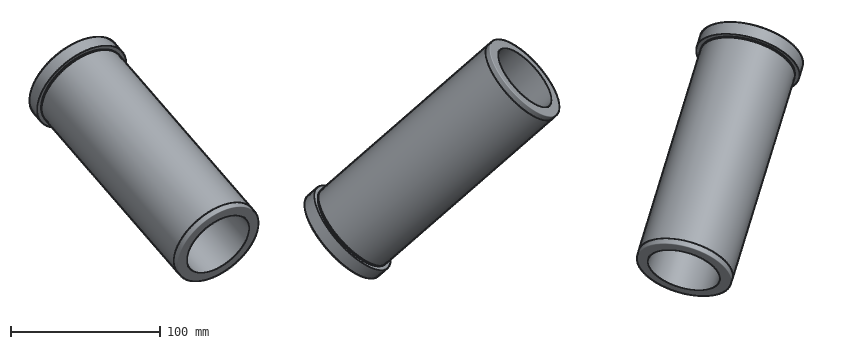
import cadquery as cq

length = 175.0
flange_diameter = 72.0
flange_thickness = 10.0
flange_chamfer = 0.5
body_diameter = 66.0
bore_diameter = 50.0
relief_diameter = 65.8
relief_width = 1.0
lead_diameter = 65.8
lead_length = 4.2
end_fillet = 0.5


def cylinder(start, span, diameter):
    """Solid cylinder along X, from start to start + span."""
    return cq.Workplane("YZ", origin=(start, 0, 0)).circle(diameter / 2).extrude(span)


flange = cylinder(0, flange_thickness, flange_diameter).faces("<X").chamfer(flange_chamfer)

relief = cylinder(flange_thickness, relief_width, relief_diameter)

body_start = flange_thickness + relief_width
lead_start = length - lead_length
body = cylinder(body_start, lead_start - body_start, body_diameter)

lead = cylinder(lead_start, lead_length, lead_diameter).faces(">X").edges().fillet(end_fillet)

bore = cylinder(0, length, bore_diameter)

result = flange.union(relief).union(body).union(lead).cut(bore)